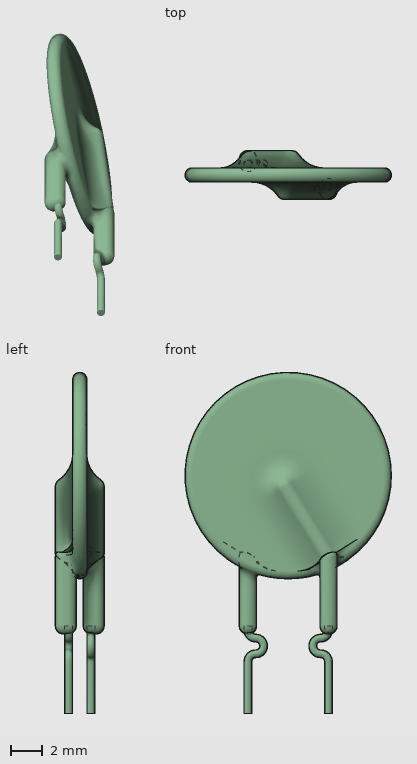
import cadquery as cq
import math

DISC_DIAMETER = 13.0
DISC_THICKNESS = 0.9
DISC_RADIUS = DISC_DIAMETER / 2
HALF_DISC = DISC_THICKNESS / 2
FLAT_RADIUS = DISC_RADIUS - HALF_DISC

TOTAL_HEIGHT = 21.5
TOTAL_DEPTH = 3.1

LEAD_SPACING = 5.07
LEAD_X = LEAD_SPACING / 2
WIRE_DIAMETER = 0.5
WIRE_RADIUS = WIRE_DIAMETER / 2
WIRE_Y = -(HALF_DISC + WIRE_RADIUS)
WIRE_BOTTOM_Z = DISC_RADIUS - TOTAL_HEIGHT
KINK_RADIUS = 0.5
KINK_BOTTOM_Z = -11.72

SLEEVE_WIDTH = 1.1
SLEEVE_RADIUS = SLEEVE_WIDTH / 2
SLEEVE_OUTER_Y = TOTAL_DEPTH / 2
SLEEVE_DEPTH = 1.33
SLEEVE_MID_Y = -(SLEEVE_OUTER_Y - SLEEVE_DEPTH / 2)
SLEEVE_BOTTOM_Z = -9.98
SLEEVE_END_ROUND = 0.52
WIRE_TOP_Z = SLEEVE_BOTTOM_Z + SLEEVE_END_ROUND

RIDGE_START_X = -0.205
RIDGE_START_Z = -0.7
RIDGE_END_Z = -5.14
RIDGE_BLEND_RADIUS = 2.0
CREST_RADIUS = SLEEVE_RADIUS
CREST_HEIGHT = SLEEVE_OUTER_Y - CREST_RADIUS
RIDGE_TRIM_RADIUS = 5.48

RIM_BLEND_RADIUS = 0.5


def make_disc():
    """Flat disc with a fully rounded rim."""
    return (
        cq.Workplane("XY")
        .moveTo(0, -HALF_DISC)
        .lineTo(FLAT_RADIUS, -HALF_DISC)
        .threePointArc((DISC_RADIUS, 0), (FLAT_RADIUS, HALF_DISC))
        .lineTo(0, HALF_DISC)
        .close()
        .revolve(360, (0, 0, 0), (0, 1, 0))
    )


def make_ridge():
    """Ridge with concave flanks and a round flared head, trimmed to the rim of the disc."""
    run_x = LEAD_X - RIDGE_START_X
    run_z = RIDGE_END_Z - RIDGE_START_Z
    length = math.hypot(run_x, run_z)

    flank_centre_v = HALF_DISC + RIDGE_BLEND_RADIUS
    centre_distance = RIDGE_BLEND_RADIUS + CREST_RADIUS
    centre_rise = flank_centre_v - CREST_HEIGHT
    foot = math.sqrt(centre_distance**2 - centre_rise**2)
    joint_angle = math.atan2(centre_rise, foot)
    joint_u = CREST_RADIUS * math.cos(joint_angle)
    joint_v = CREST_HEIGHT + CREST_RADIUS * math.sin(joint_angle)
    mid_angle = (joint_angle + math.pi / 2) / 2
    flank_mid_u = foot - RIDGE_BLEND_RADIUS * math.cos(mid_angle)
    flank_mid_v = flank_centre_v - RIDGE_BLEND_RADIUS * math.sin(mid_angle)

    section_plane = cq.Plane(
        origin=(RIDGE_START_X, 0, RIDGE_START_Z),
        xDir=(-run_z, 0, run_x),
        normal=(run_x, 0, run_z),
    )
    body = (
        cq.Workplane(section_plane)
        .moveTo(-foot, 0)
        .lineTo(-foot, HALF_DISC)
        .threePointArc((-flank_mid_u, flank_mid_v), (-joint_u, joint_v))
        .threePointArc((0, SLEEVE_OUTER_Y), (joint_u, joint_v))
        .threePointArc((flank_mid_u, flank_mid_v), (foot, HALF_DISC))
        .lineTo(foot, 0)
        .close()
        .extrude(length)
    )
    crest_mid_u = CREST_RADIUS * math.cos(mid_angle)
    crest_mid_v = CREST_HEIGHT + CREST_RADIUS * math.sin(mid_angle)
    head = (
        cq.Workplane(section_plane)
        .lineTo(0, SLEEVE_OUTER_Y)
        .threePointArc((crest_mid_u, crest_mid_v), (joint_u, joint_v))
        .threePointArc((flank_mid_u, flank_mid_v), (foot, HALF_DISC))
        .lineTo(foot, 0)
        .close()
        .revolve(360, (0, 0, 0), (0, 1, 0))
    )
    rim_trim = (
        cq.Workplane("XY")
        .lineTo(FLAT_RADIUS, 0)
        .lineTo(FLAT_RADIUS, -HALF_DISC)
        .lineTo(RIDGE_TRIM_RADIUS, -SLEEVE_OUTER_Y)
        .lineTo(0, -SLEEVE_OUTER_Y)
        .close()
        .revolve(360, (0, 0, 0), (0, 1, 0))
    )
    return body.union(head).intersect(rim_trim)


def make_sleeve():
    """Slot-section sleeve with a rounded lower end and a domed elbow at its top."""
    shaft = (
        cq.Workplane("XY", origin=(LEAD_X, SLEEVE_MID_Y, SLEEVE_BOTTOM_Z))
        .slot2D(SLEEVE_DEPTH, SLEEVE_WIDTH, 90)
        .extrude(RIDGE_END_Z - SLEEVE_BOTTOM_Z)
        .faces("<Z")
        .edges()
        .fillet(SLEEVE_END_ROUND)
    )
    elbow = (
        cq.Workplane("XY", origin=(LEAD_X, SLEEVE_MID_Y, RIDGE_END_Z))
        .moveTo(0, -SLEEVE_DEPTH / 2)
        .radiusArc((SLEEVE_RADIUS, SLEEVE_RADIUS - SLEEVE_DEPTH / 2), -SLEEVE_RADIUS)
        .lineTo(SLEEVE_RADIUS, SLEEVE_DEPTH / 2 - SLEEVE_RADIUS)
        .radiusArc((0, SLEEVE_DEPTH / 2), -SLEEVE_RADIUS)
        .close()
        .revolve(360, (0, 0, 0), (0, 1, 0))
    )
    return shaft.union(elbow)


def blend_sleeve_into_disc(disc_with_sleeve):
    """Round the seam where the front sleeve meets the face and the rim of the disc."""
    margin = 0.02
    seam_box = cq.selectors.BoxSelector(
        (LEAD_X - SLEEVE_RADIUS, -HALF_DISC - margin, -DISC_RADIUS),
        (LEAD_X + SLEEVE_RADIUS, 0, RIDGE_END_Z + SLEEVE_RADIUS),
    )
    return disc_with_sleeve.edges(seam_box).fillet(RIM_BLEND_RADIUS)


def half_turn(body):
    """Turn a body from the front of the component to its back, about the Z axis."""
    return body.rotate((0, 0, 0), (0, 0, 1), 180)


def make_coating(leads):
    """Disc with a ridge and a sleeve on each face, recessed for the leads."""
    coating = make_disc()
    for _ in range(2):
        coating = blend_sleeve_into_disc(coating.union(make_sleeve()))
        coating = half_turn(coating.union(make_ridge()))
    for lead in leads:
        coating = coating.cut(lead)
    return coating


def make_lead():
    """Wire with an S-shaped kink towards the middle of the component."""
    inward_up = (-KINK_RADIUS, KINK_RADIUS)
    outward_up = (KINK_RADIUS, KINK_RADIUS)
    path = (
        cq.Workplane("XZ", origin=(0, WIRE_Y, 0))
        .moveTo(LEAD_X, WIRE_BOTTOM_Z)
        .lineTo(LEAD_X, KINK_BOTTOM_Z)
        .tangentArcPoint(inward_up)
        .tangentArcPoint(inward_up)
        .tangentArcPoint(outward_up)
        .tangentArcPoint(outward_up)
        .lineTo(LEAD_X, WIRE_TOP_Z)
    )
    return (
        cq.Workplane("XY", origin=(LEAD_X, WIRE_Y, WIRE_BOTTOM_Z))
        .circle(WIRE_RADIUS)
        .sweep(path)
    )


front_lead = make_lead()
leads = [front_lead, half_turn(front_lead)]
coating = make_coating(leads)

result = cq.Compound.makeCompound([coating.val(), *[lead.val() for lead in leads]])